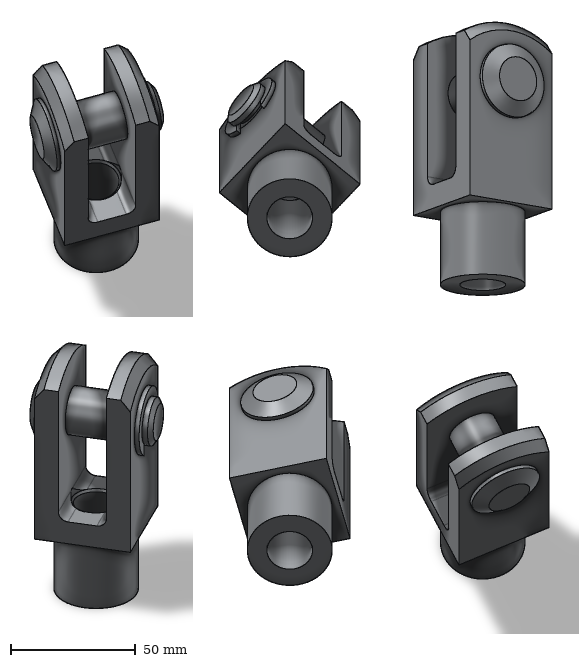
import cadquery as cq

height = 105.0
fork_width = 40.0
fork_half = fork_width / 2
shank_length = 30.0
shank_diameter = 34.0
slot_width = fork_width / 2
slot_floor_z = 40.0
slot_corner_radius = 4.0
crown_radius = 37.0
crown_chamfer = 4.0

bore_radius = 9.1
bore_mouth_radius = 10.1
bore_chamfer = bore_mouth_radius - bore_radius

pin_z = 80.0
pin_radius = slot_width / 2
head_radius = 15.0
head_face_radius = 9.0
head_rim = 1.6
head_thickness = 5.0
tail_length = 6.0
tail_chamfer_length = 1.7
tail_chamfer_depth = 2.4
groove_radius = 7.2

clip_thickness = 2.0
clip_radius = 14.2


def crown_outline(radius):
    """Tall block profile in XZ with an arched top, concentric with the fork crown."""
    crown_center_z = height - crown_radius
    peak_z = crown_center_z + radius
    shoulder_z = crown_center_z + (radius**2 - fork_half**2) ** 0.5
    return (
        cq.Workplane("XZ")
        .moveTo(-fork_half, shank_length)
        .lineTo(fork_half, shank_length)
        .lineTo(fork_half, shoulder_z)
        .threePointArc((0, peak_z), (-fork_half, shoulder_z))
        .close()
    )


def crown_cone(side):
    """Conical envelope that bevels the crown at the outer face on one side (-1 or +1)."""
    middle_radius = crown_radius - crown_chamfer + fork_half
    return (
        cq.Workplane("XY")
        .moveTo(0, 0)
        .lineTo(middle_radius, 0)
        .lineTo(crown_radius - crown_chamfer, side * fork_half)
        .lineTo(0, side * fork_half)
        .close()
        .revolve(360, (0, 0, 0), (0, 1, 0))
        .translate((0, 0, height - crown_radius))
    )


def make_block():
    """Arched block with bevelled outer crown edges."""
    arched = crown_outline(crown_radius).extrude(fork_half, both=True)
    cap_z = height - crown_radius
    lower = arched.intersect(
        cq.Workplane("XY").box(fork_width, fork_width, cap_z, centered=(True, True, False))
    )
    upper = arched.cut(lower)
    envelope = crown_cone(-1).union(crown_cone(1))
    return lower.union(upper.intersect(envelope))


def make_slot():
    """Slot across X, open at the top, with rounded floor corners."""
    return (
        cq.Workplane("XY", origin=(0, 0, slot_floor_z))
        .box(fork_width, slot_width, height - slot_floor_z, centered=(True, True, False))
        .edges("|X and <Z")
        .fillet(slot_corner_radius)
    )


def make_bore():
    """Bore up the shank with a chamfered mouth that also clears the slot corners."""
    mouth_top_z = slot_floor_z + slot_corner_radius
    return (
        cq.Workplane("XZ")
        .moveTo(0, 0)
        .lineTo(bore_radius, 0)
        .lineTo(bore_radius, slot_floor_z - bore_chamfer)
        .lineTo(bore_mouth_radius, slot_floor_z)
        .lineTo(bore_mouth_radius, mouth_top_z)
        .lineTo(0, mouth_top_z)
        .close()
        .revolve(360, (0, 0, 0), (0, 1, 0))
    )


def make_fork():
    shank = cq.Workplane("XY").circle(shank_diameter / 2).extrude(shank_length)
    pin_hole = (
        cq.Workplane("XZ", origin=(0, 0, pin_z))
        .circle(pin_radius)
        .extrude(fork_half, both=True)
    )
    return make_block().union(shank).cut(make_slot()).cut(make_bore()).cut(pin_hole)


def make_pin():
    """Headed pin along Y, with a clip groove just beyond the fork."""
    head_y = -fork_half - head_thickness
    groove_end_y = fork_half + clip_thickness
    tail_y = fork_half + tail_length
    return (
        cq.Workplane("XY")
        .moveTo(0, head_y)
        .lineTo(head_face_radius, head_y)
        .lineTo(head_radius, -fork_half - head_rim)
        .lineTo(head_radius, -fork_half)
        .lineTo(pin_radius, -fork_half)
        .lineTo(pin_radius, fork_half)
        .lineTo(groove_radius, fork_half)
        .lineTo(groove_radius, groove_end_y)
        .lineTo(pin_radius, groove_end_y)
        .lineTo(pin_radius, tail_y - tail_chamfer_length)
        .lineTo(pin_radius - tail_chamfer_depth, tail_y)
        .lineTo(0, tail_y)
        .close()
        .revolve(360, (0, 0, 0), (0, 1, 0))
        .translate((0, 0, pin_z))
    )


def make_clip():
    """Flat round clip with a mouth, as wide as the groove core, open at the bottom."""
    face = cq.Workplane("XZ", origin=(0, fork_half, pin_z))
    disc = face.circle(clip_radius).extrude(-clip_thickness)
    seat = face.circle(groove_radius).extrude(-clip_thickness)
    mouth = face.center(0, -clip_radius / 2).rect(2 * groove_radius, clip_radius).extrude(-clip_thickness)
    return disc.cut(seat).cut(mouth)


fork = make_fork()
pin = make_pin()
clip = make_clip()

result = cq.Compound.makeCompound([fork.val(), pin.val(), clip.val()])